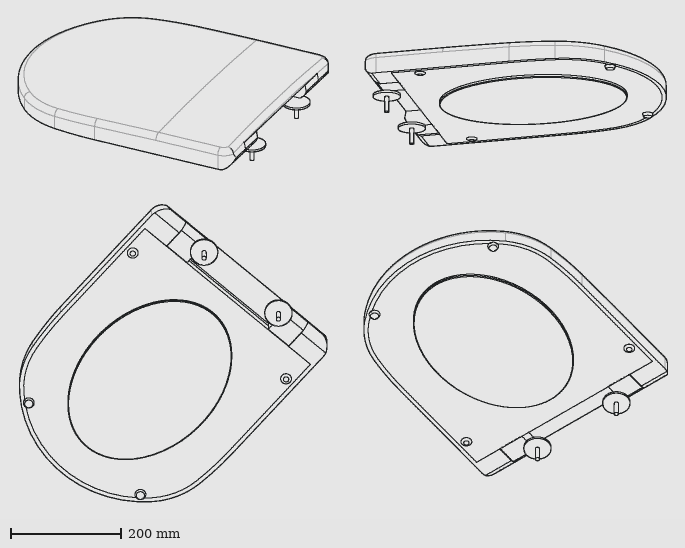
import cadquery as cq
import math


LENGTH = 519.0
NOSE_X = -LENGTH / 2
STRAIGHT_X = -26.0
REAR_X = 250.5
WIDTH = 416.0
HALF_WIDTH = WIDTH / 2
NOSE_RADIUS = 227.0
FLANK_RADIUS = 592.0
FLANK_ANGLE = math.radians(8.2)
REAR_CORNER_RADIUS = 26.0

CROWN_Z = 45.5
CROWN_X = 98.5
CROWN_LENGTH_RADIUS = 4912.0
CROWN_WIDTH_RADIUS = 3894.5
CROWN_HALF_ANGLE = 4.0
CROWN_FILLET = 11.5
CROWN_EDGE_Z = 31.0
REAR_BULGE_Z = 19.0
REAR_TOP_X = 245.5
REAR_UNDERCUT = (244.5, 8.5)
REAR_BOTTOM_X = 232.0
MARGIN = 26.0

LID_WALL = 8.0
SEAT_THICKNESS = 21.0
SEAT_REAR_X = 197.5
RIM_CENTER_X = -17.0
RIM_HALF_LENGTH = 173.5
RIM_HALF_WIDTH = 127.0
RIM_HEIGHT = 5.0
RIM_CHAMFER = 1.5

NOTCH_HALF_WIDTH = 147.5
NOTCH_HEIGHT = 32.0
KNUCKLE_INNER_Y = 98.0
KNUCKLE_WIDTH = NOTCH_HALF_WIDTH - KNUCKLE_INNER_Y

MOUNT_DIAMETER = 50.0
MOUNT_RADIUS = MOUNT_DIAMETER / 2
MOUNT_X = LENGTH / 2 - MOUNT_RADIUS
MOUNT_Y = 90.0
MOUNT_BOTTOM_Z = -5.0
MOUNT_PLATE = 4.0
MOUNT_DOME = 3.5
MOUNT_TOP_Z = MOUNT_BOTTOM_Z + MOUNT_PLATE + MOUNT_DOME
BOLT_DIAMETER = 8.0
BOLT_LENGTH = 29.0

FRONT_FOOT = (-197.0, 135.0, 19.5, 15.0, 5.0)
REAR_FOOT = (147.0, 185.5, 19.5, 10.0, 3.0)

SIDES = (-1, 1)


def on_circle(center, radius, angle):
    """Point on a circle, with the angle measured from +Y towards -X."""
    return (center[0] - radius * math.sin(angle), center[1] + radius * math.cos(angle))


def mirrored(point):
    return (point[0], -point[1])


def lid_outline():
    """Straight rear and sides, and a nose of five arcs that meet tangentially."""
    flank_center = (STRAIGHT_X, HALF_WIDTH - FLANK_RADIUS)
    flank_middle = on_circle(flank_center, FLANK_RADIUS, FLANK_ANGLE / 2)
    flank_end = on_circle(flank_center, FLANK_RADIUS, FLANK_ANGLE)

    nose_center = (NOSE_X + NOSE_RADIUS, 0)
    offset_x = flank_end[0] - nose_center[0]
    offset_y = flank_end[1] - nose_center[1]
    along_normal = offset_y * math.cos(FLANK_ANGLE) - offset_x * math.sin(FLANK_ANGLE)
    shoulder_radius = (NOSE_RADIUS**2 - offset_x**2 - offset_y**2) / (2 * (NOSE_RADIUS - along_normal))
    shoulder_center = on_circle(flank_end, -shoulder_radius, FLANK_ANGLE)
    nose_angle = math.atan2(nose_center[0] - shoulder_center[0], shoulder_center[1])
    shoulder_middle = on_circle(shoulder_center, shoulder_radius, (FLANK_ANGLE + nose_angle) / 2)
    nose_start = on_circle(nose_center, NOSE_RADIUS, nose_angle)

    return (
        cq.Workplane("XY")
        .moveTo(REAR_X, -HALF_WIDTH)
        .lineTo(REAR_X, HALF_WIDTH)
        .lineTo(STRAIGHT_X, HALF_WIDTH)
        .threePointArc(flank_middle, flank_end)
        .threePointArc(shoulder_middle, nose_start)
        .threePointArc((NOSE_X, 0), mirrored(nose_start))
        .threePointArc(mirrored(shoulder_middle), mirrored(flank_end))
        .threePointArc(mirrored(flank_middle), (STRAIGHT_X, -HALF_WIDTH))
        .close()
    )


def crown_space():
    """Everything under the crown, which is arched along X and, by its revolution, along Y."""
    front_x = NOSE_X - MARGIN
    reach = CROWN_X - front_x
    drop = reach**2 / (2 * CROWN_LENGTH_RADIUS)
    middle = (CROWN_X - reach / 2, CROWN_Z - drop / 4)
    axis_z = CROWN_Z - CROWN_WIDTH_RADIUS
    profile = (
        cq.Workplane("XZ")
        .moveTo(REAR_X + MARGIN, -MARGIN)
        .lineTo(REAR_X + MARGIN, CROWN_Z)
        .lineTo(CROWN_X, CROWN_Z)
        .threePointArc(middle, (front_x, CROWN_Z - drop))
        .lineTo(front_x, -MARGIN)
        .close()
    )
    axis_start = (0, axis_z, 0)
    axis_end = (1, axis_z, 0)
    sector = profile.revolve(2 * CROWN_HALF_ANGLE, axis_start, axis_end)
    return sector.rotate((0, 0, axis_z), (1, 0, axis_z), -CROWN_HALF_ANGLE)


def crown_boundary():
    """Selects the edges around the crown, without the one where its level part begins."""
    reach_y = HALF_WIDTH + MARGIN
    upper_edges = cq.selectors.BoxSelector(
        (NOSE_X - MARGIN, -reach_y, CROWN_EDGE_Z), (REAR_X + MARGIN, reach_y, CROWN_Z + MARGIN)
    )
    level_start = cq.selectors.BoxSelector(
        (CROWN_X - MARGIN, -MARGIN, CROWN_EDGE_Z), (CROWN_X + MARGIN, MARGIN, CROWN_Z)
    )
    return upper_edges - level_start


def rear_profile(front_x, top_z, start_y, width):
    """Bar along Y whose rear face leans in at the top and is rounded under."""
    lean = (REAR_X - REAR_TOP_X) / (CROWN_Z - REAR_BULGE_Z)
    top_x = REAR_X - lean * (top_z - REAR_BULGE_Z)
    return (
        cq.Workplane("XZ", origin=(0, start_y, 0))
        .moveTo(front_x, 0)
        .lineTo(REAR_BOTTOM_X, 0)
        .threePointArc(REAR_UNDERCUT, (REAR_X, REAR_BULGE_Z))
        .lineTo(top_x, top_z)
        .lineTo(front_x, top_z)
        .close()
        .extrude(-width)
    )


def make_seat_blank():
    """Plate that fills the lid inside its wall, ending in front of the hinges."""
    plate = lid_outline().offset2D(-LID_WALL).extrude(SEAT_THICKNESS)
    length = SEAT_REAR_X - NOSE_X
    keep = cq.Workplane("XY").box(length, 2 * HALF_WIDTH, SEAT_THICKNESS, centered=(False, True, False))
    return plate.intersect(keep.translate((NOSE_X, 0, 0)))


def hinge_space(height):
    """Block behind the seat plate, open to the rear, as wide as the hinge notch."""
    depth = REAR_X - SEAT_REAR_X + MARGIN
    block = cq.Workplane("XY").box(depth, 2 * NOTCH_HALF_WIDTH, height, centered=(False, True, False))
    return block.translate((SEAT_REAR_X, 0, 0))


def make_lid():
    """Crowned cover, hollowed for the seat and notched at the rear for the hinges."""
    blank = lid_outline().extrude(CROWN_Z + MARGIN)
    blank = blank.edges("|Z and >X").fillet(REAR_CORNER_RADIUS)
    rear = rear_profile(NOSE_X - MARGIN, CROWN_Z + MARGIN, -HALF_WIDTH - MARGIN, 2 * (HALF_WIDTH + MARGIN))
    body = blank.intersect(rear).intersect(crown_space())
    body = body.edges(crown_boundary()).fillet(CROWN_FILLET)
    return body.cut(make_seat_blank()).cut(hinge_space(NOTCH_HEIGHT))


def make_seat():
    """Plate with an oval rim below and two hinge knuckles that clear the mounts."""
    seat = make_seat_blank()
    rim = (
        cq.Workplane("XY")
        .center(RIM_CENTER_X, 0)
        .ellipse(RIM_HALF_LENGTH, RIM_HALF_WIDTH)
        .extrude(-RIM_HEIGHT)
        .faces("<Z")
        .chamfer(RIM_CHAMFER)
    )
    seat = seat.union(rim)
    for start_y in (KNUCKLE_INNER_Y, -NOTCH_HALF_WIDTH):
        knuckle = rear_profile(SEAT_REAR_X, NOTCH_HEIGHT, start_y, KNUCKLE_WIDTH)
        seat = seat.union(knuckle.cut(hinge_space(MOUNT_TOP_Z)))
    return seat


def make_mount(side):
    """Round hinge plate with a shallow domed top."""
    plate_top = MOUNT_BOTTOM_Z + MOUNT_PLATE
    dome_radius = (MOUNT_RADIUS**2 + MOUNT_DOME**2) / (2 * MOUNT_DOME)
    return (
        cq.Workplane("XZ")
        .moveTo(0, MOUNT_BOTTOM_Z)
        .lineTo(MOUNT_RADIUS, MOUNT_BOTTOM_Z)
        .lineTo(MOUNT_RADIUS, plate_top)
        .radiusArc((0, MOUNT_TOP_Z), -dome_radius)
        .close()
        .revolve(360, (0, 0, 0), (0, 1, 0))
        .translate((MOUNT_X, side * MOUNT_Y, 0))
    )


def make_bolt(side):
    """Bolt hanging from the centre of a hinge mount."""
    bolt = cq.Workplane("XY").circle(BOLT_DIAMETER / 2).extrude(-BOLT_LENGTH)
    return bolt.translate((MOUNT_X, side * MOUNT_Y, MOUNT_BOTTOM_Z))


def make_foot(x, y, base_diameter, tip_diameter, height):
    """Tapered foot hanging from the underside of the seat."""
    foot = (
        cq.Workplane("XY")
        .circle(base_diameter / 2)
        .workplane(offset=-height)
        .circle(tip_diameter / 2)
        .loft()
    )
    return foot.translate((x, y, 0))


lid = make_lid()
seat = make_seat()
mounts = [make_mount(side) for side in SIDES]
bolts = [make_bolt(side) for side in SIDES]
feet = [
    make_foot(x, side * y, base, tip, height)
    for x, y, base, tip, height in (FRONT_FOOT, REAR_FOOT)
    for side in SIDES
]

bodies = [lid, seat] + mounts + bolts + feet
result = cq.Compound.makeCompound([body.val() for body in bodies])